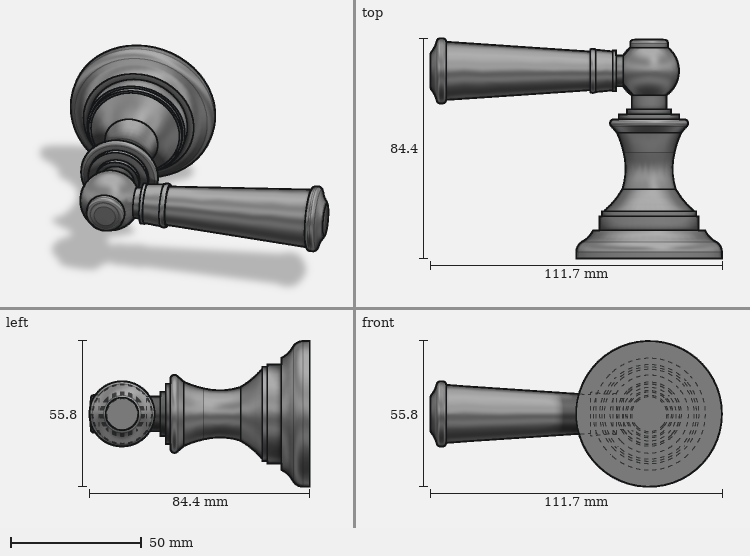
import cadquery as cq

base_radius = 27.9
lever_tip = 83.8
ball_height = 71.9
ball_radius = 11.5

foot_rim_height = 2.7
foot_shoulder_mid_radius = 27.5
foot_shoulder_mid_height = 4.5
foot_shoulder_radius = 25.8
foot_shoulder_height = 6.4
foot_cove_mid_radius = 23.1
foot_cove_mid_height = 8.4
foot_top_radius = 21.5
foot_top_height = 10.8
collar_radius = 19.0
collar_top = 16.2
body_seat_radius = 18.1
body_seat_height = 18.2

body_bottom_radius = 17.2
lower_flare_mid_radius = 13.0
lower_flare_mid_height = 22.6
lower_flare_radius = 10.3
lower_flare_height = 26.5
waist_radius = 9.0
waist_height = 34.4
upper_flare_radius = 9.8
upper_flare_height = 40.8
upper_flare_mid_radius = 10.8
upper_flare_mid_height = 44.5
flare_end_radius = 12.3
flare_end_height = 48.2
rim_start_radius = 14.4
rim_start_height = 50.6
rim_radius = 15.0
rim_height = 52.0
rim_top_radius = 13.7
rim_top_height = 53.3

wide_ring_radius = 11.6
wide_ring_top = 55.2
narrow_ring_radius = 8.5
narrow_ring_top = 57.2
neck_radius = 6.7
cap_radius = 7.3
cap_shoulder_height = 82.4
cap_round_mid_radius = 6.8
cap_round_mid_height = 83.5
cap_edge_radius = 5.6
cap_edge_height = 83.8
cap_top_radius = 4.1
cap_top = 84.0

stem_radius = 5.9
lip_start = 12.6
lip_end = 14.0
lip_radius = 7.8
ferrule_small_radius = 7.5
ferrule_large_radius = 8.2
bead_start = 20.5
bead_end = 22.6
bead_radius = 8.5
grip_small_radius = 7.43
grip_large_radius = 11.2
knob_start = 77.7
knob_land_start = 79.0
knob_land_end = 79.7
knob_end = 81.2
knob_radius = 12.5
knob_edge_radius = 11.5
knob_round_mid_radius = 12.2
knob_round_inset = 0.5
tip_radius = 7.2
tip_bevel_length = 0.5
tip_face_radius = 6.3
tip_curve_position = 82.0
tip_curve_radius = 9.3


def make_foot():
    """Ogee foot with a cylindrical collar and a thin seat for the body."""
    shoulder_mid = (foot_shoulder_mid_radius, foot_shoulder_mid_height)
    cove_mid = (foot_cove_mid_radius, foot_cove_mid_height)
    return (
        cq.Workplane("XY")
        .lineTo(base_radius, 0)
        .lineTo(base_radius, foot_rim_height)
        .threePointArc(shoulder_mid, (foot_shoulder_radius, foot_shoulder_height))
        .threePointArc(cove_mid, (foot_top_radius, foot_top_height))
        .lineTo(collar_radius, foot_top_height)
        .lineTo(collar_radius, collar_top)
        .lineTo(body_seat_radius, collar_top)
        .lineTo(body_seat_radius, body_seat_height)
        .lineTo(0, body_seat_height)
        .close()
        .revolve(360, (0, 0, 0), (0, 1, 0))
    )


def make_body():
    """Waisted body with a rounded rim, two stepped rings and the neck."""
    lower_flare_mid = (lower_flare_mid_radius, lower_flare_mid_height)
    lower_flare_end = (lower_flare_radius, lower_flare_height)
    waist = (waist_radius, waist_height)
    upper_flare_start = (upper_flare_radius, upper_flare_height)
    upper_flare_mid = (upper_flare_mid_radius, upper_flare_mid_height)
    upper_flare_end = (flare_end_radius, flare_end_height)
    return (
        cq.Workplane("XY")
        .moveTo(0, body_seat_height)
        .lineTo(body_bottom_radius, body_seat_height)
        .threePointArc(lower_flare_mid, lower_flare_end)
        .threePointArc(waist, upper_flare_start)
        .threePointArc(upper_flare_mid, upper_flare_end)
        .lineTo(rim_start_radius, rim_start_height)
        .threePointArc((rim_radius, rim_height), (rim_top_radius, rim_top_height))
        .lineTo(wide_ring_radius, rim_top_height)
        .lineTo(wide_ring_radius, wide_ring_top)
        .lineTo(narrow_ring_radius, wide_ring_top)
        .lineTo(narrow_ring_radius, narrow_ring_top)
        .lineTo(neck_radius, narrow_ring_top)
        .lineTo(neck_radius, ball_height)
        .lineTo(0, ball_height)
        .close()
        .revolve(360, (0, 0, 0), (0, 1, 0))
    )


def make_ball():
    """Ball that joins the post and the lever."""
    return cq.Workplane("XY").sphere(ball_radius).translate((0, ball_height, 0))


def make_cap():
    """Button on top of the ball, with a rounded edge and a low crown."""
    edge_mid = (cap_round_mid_radius, cap_round_mid_height)
    return (
        cq.Workplane("XY")
        .moveTo(0, ball_height)
        .lineTo(cap_radius, ball_height)
        .lineTo(cap_radius, cap_shoulder_height)
        .threePointArc(edge_mid, (cap_edge_radius, cap_edge_height))
        .lineTo(cap_top_radius, cap_top)
        .lineTo(0, cap_top)
        .close()
        .revolve(360, (0, 0, 0), (0, 1, 0))
    )


def make_lever():
    """Stem, ferrule, tapered grip and end knob, turned about the lever axis."""
    bead_mid = (-(bead_start + bead_end) / 2, bead_radius)
    knob_inner_mid = (-(knob_start + knob_round_inset), knob_round_mid_radius)
    tip_curve_mid = (-tip_curve_position, tip_curve_radius)
    tip_curve_end = (-(lever_tip - tip_bevel_length), tip_radius)
    knob_outer_mid = (-(knob_end - knob_round_inset), knob_round_mid_radius)
    return (
        cq.Workplane("XY", origin=(0, ball_height, 0))
        .lineTo(0, stem_radius)
        .lineTo(-lip_start, stem_radius)
        .lineTo(-lip_start, lip_radius)
        .lineTo(-lip_end, lip_radius)
        .lineTo(-lip_end, ferrule_small_radius)
        .lineTo(-bead_start, ferrule_large_radius)
        .threePointArc(bead_mid, (-bead_end, ferrule_large_radius))
        .lineTo(-bead_end, grip_small_radius)
        .lineTo(-knob_start, grip_large_radius)
        .lineTo(-knob_start, knob_edge_radius)
        .threePointArc(knob_inner_mid, (-knob_land_start, knob_radius))
        .lineTo(-knob_land_end, knob_radius)
        .threePointArc(knob_outer_mid, (-knob_end, knob_edge_radius))
        .threePointArc(tip_curve_mid, tip_curve_end)
        .lineTo(-lever_tip, tip_face_radius)
        .lineTo(-lever_tip, 0)
        .close()
        .revolve(360, (0, 0, 0), (1, 0, 0))
    )


result = make_foot().union(make_body()).union(make_ball()).union(make_cap()).union(make_lever())